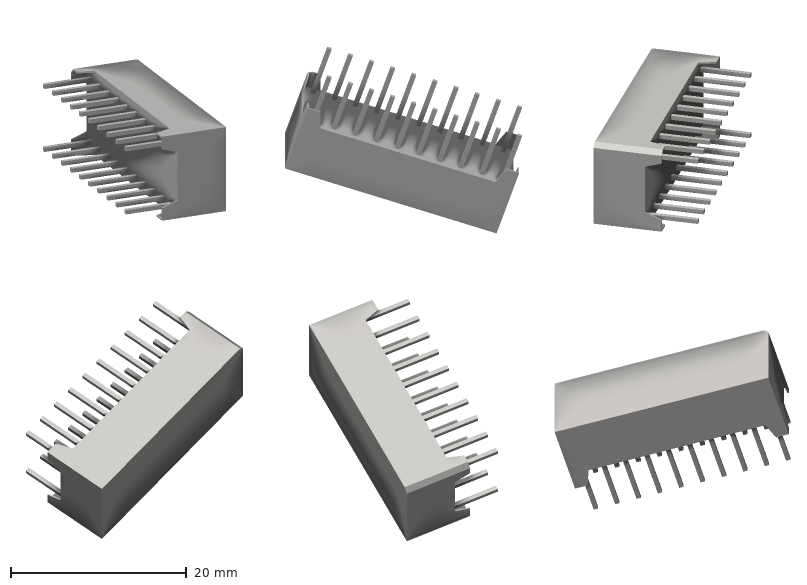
import cadquery as cq

length = 25.4
height = 10.15
depth = 8.0
overall_depth = 12.0
corner_chamfer = 0.55

recess_depth = 1.93
end_wall = 0.15
side_wall = 0.23
recess_chamfer = 0.4
floor_y = recess_depth - depth

foot_tip = 1.52
foot_base = 2.18

pins_per_row = 10
pin_pitch = 2.55
row_spacing = 7.62
pin_size = 0.5

slot_length = 1.42
slot_width = 0.13
slot_depth = 0.13


def chamfered_block(size_x, size_z, chamfer, y_front, y_back):
    """Block along Y with its -X/+Z corner cut off."""
    block = cq.Workplane("XY").box(size_x, y_back - y_front, size_z)
    block = block.edges("|Y and <X and >Z").chamfer(chamfer)
    return block.translate((0, (y_front + y_back) / 2, 0))


def wall_opening(plane, wall_length, cut_length):
    """Flared trapezoid cut through a pair of opposite walls down to the floor."""
    base = wall_length / 2 - foot_base
    tip = wall_length / 2 - foot_tip
    profile = [(-base, floor_y), (base, floor_y), (tip, -depth), (-tip, -depth)]
    return cq.Workplane(plane).polyline(profile).close().extrude(cut_length / 2, both=True)


def housing():
    """Block with a walled recess whose walls survive only at the corners."""
    inner_length = length - 2 * end_wall
    inner_height = height - 2 * side_wall
    block = chamfered_block(length, height, corner_chamfer, -depth, 0)
    recess = chamfered_block(inner_length, inner_height, recess_chamfer, -depth, floor_y)
    long_wall_opening = wall_opening("XY", length, height)
    end_wall_opening = wall_opening("ZY", height, length)
    return block.cut(recess).cut(long_wall_opening).cut(end_wall_opening)


def floor_slot():
    slot_x = length / 2 - end_wall - slot_width / 2
    slot = cq.Workplane("XY").box(slot_width, slot_depth, slot_length)
    return slot.translate((slot_x, floor_y + slot_depth / 2, 0))


def pins():
    """Both pin rows, standing on the recess floor."""
    floor = cq.Workplane("XZ", origin=(0, floor_y, 0))
    centres = floor.rarray(pin_pitch, row_spacing, pins_per_row, 2)
    return centres.rect(pin_size, pin_size).extrude(overall_depth + floor_y)


result = housing().cut(floor_slot()).union(pins())